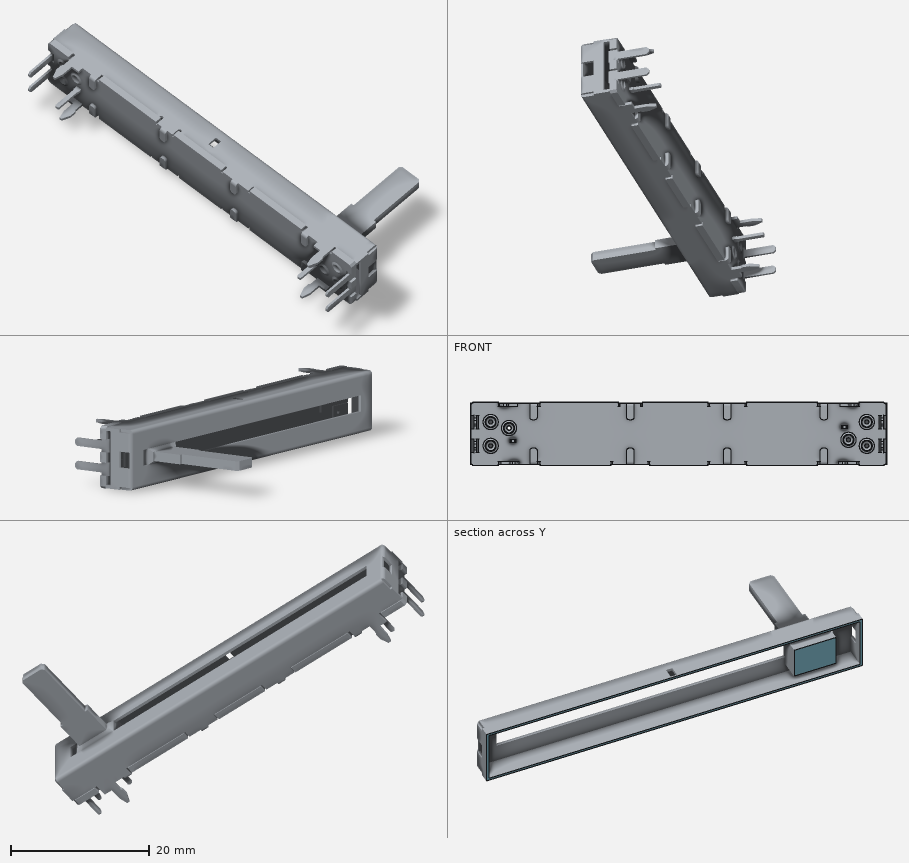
import cadquery as cq

HOUSING_LENGTH = 60.2
HOUSING_HEIGHT = 8.9
HOUSING_BACK_Y = 5.6
SHEET = 0.45
BEND_RADIUS = 0.55
END_WALL_FRONT_Y = 1.95
RELIEF_LENGTH = 0.35
RELIEF_FRONT_Y = 3.5
SLOT_HALF_HEIGHT = 1.2
SLOT_HALF_LENGTH = 27.0
END_OPENING_DEPTH = 0.25

BOARD_HEIGHT = 9.2
BOARD_THICKNESS = 1.05
BOARD_RIGHT_SETBACK = 0.1
BOARD_CORNER_CHAMFER = 0.35

FINGER_PITCH = 14.0
TAB_HALF_LENGTH = 2.55
NARROW_TAB_HALF_LENGTH = 1.5
END_TAB_INNER_X = 20.45
END_TAB_OUTER_X = 25.7
NOTCH_CLEARANCE = 0.25
END_NOTCH_CLEARANCE = 0.4
RELIEF_RADIUS = 0.3

FINGER_WIDTH = 1.1
FINGER_HEIGHT = 0.5
FINGER_TIP_Z = 2.05
FINGER_TIP_RADIUS = 0.4
FINGER_BEND_RADIUS = 0.45

CLIP_INNER_X = 23.3
CLIP_ROOT_Y = -0.85
CLIP_TIP_Y = -4.05
PRONG_WIDTH = 1.1
PRONG_BARB = 0.2
PRONG_TIP_HALF_WIDTH = 0.2
BARB_START_Y = -1.45
BARB_FULL_Y = -1.75
TAPER_START_Y = -2.75

PIN_TIP_Y = -4.75
TERMINAL_SHEET = 0.32
TERMINAL_Z = 1.72
TERMINAL_WIDTH = 1.95
END_PIN_X = 29.45
END_PIN_THICKNESS = 0.35
END_PIN_WIDTH = 1.2
END_PIN_CHAMFER = 0.35
END_NOTCH_DEPTH = 1.15
MIDDLE_PIN_X = 23.97
MIDDLE_PIN_Z = 1.0
MIDDLE_PIN_WIDTH = 0.7
MIDDLE_PIN_ROOT_WIDTH = 0.9
MIDDLE_PIN_SHOULDER_Y = -0.75
MIDDLE_PIN_THICKNESS = 0.45
MIDDLE_PIN_CHAMFER = 0.15

RIVET_X = 27.2
MIDDLE_RIVET_X = 24.55
MIDDLE_RIVET_Z = 0.85
RIVET_RADIUS = 1.1
RIVET_HEIGHT = 0.15
RIVET_CREST_RADIUS = 0.8
RIVET_BOWL_RADIUS = 0.7
RIVET_HOLE_RADIUS = 0.3

LEVER_X = 22.5
LEVER_TIP_Y = 20.55
LEVER_SHOULDER_Y = 10.6
LEVER_THICKNESS = 1.4
LEVER_WIDTH = 4.0
LEVER_ROOT_WIDTH = 4.9
LEVER_TIP_CHAMFER = 0.4
PAD_LENGTH = 6.7
PAD_FRONT_Y = 5.2
PAD_TOP_Y = 6.1
PAD_CHAMFER = 0.5
CARRIAGE_FRONT_Y = 2.1
CARRIAGE_HEIGHT = 5.0

WINDOW_LENGTH = 1.0
WINDOW_FRONT_Y = 2.3
WINDOW_BACK_Y = 3.9

HALF_LENGTH = HOUSING_LENGTH / 2
HALF_HEIGHT = HOUSING_HEIGHT / 2
WALL_INSIDE_Z = HALF_HEIGHT - SHEET
SIDES = (-1, 1)


def block(x0, x1, y0, y1, z0, z1):
    """Box between two opposite corners, given in any order."""
    return (
        cq.Workplane("XY")
        .box(abs(x1 - x0), abs(y1 - y0), abs(z1 - z0))
        .translate(((x0 + x1) / 2, (y0 + y1) / 2, (z0 + z1) / 2))
    )


def turned(profile):
    """Solid of revolution about the Y axis; the profile holds (radius, y) points."""
    return cq.Workplane("XY").polyline(profile).close().revolve(360, (0, 0, 0), (0, 1, 0))


def side_tabs():
    """Spans (side, x0, x1, notch clearance) of the wall tabs; the upper left middle tab is a narrow key."""
    tabs = []
    for side in SIDES:
        for end in SIDES:
            tabs.append((side, end * END_TAB_INNER_X, end * END_TAB_OUTER_X, END_NOTCH_CLEARANCE))
            is_key = side > 0 and end < 0
            half = NARROW_TAB_HALF_LENGTH if is_key else TAB_HALF_LENGTH
            center = end * FINGER_PITCH / 2
            tabs.append((side, center - half, center + half, NOTCH_CLEARANCE))
    return tabs


def housing():
    """Folded sheet-metal cover, open to the front, with a lever slot in its back and openings in its ends."""
    body = block(-HALF_LENGTH, HALF_LENGTH, BOARD_THICKNESS, HOUSING_BACK_Y, -HALF_HEIGHT, HALF_HEIGHT)
    body = body.faces(">Y").edges().fillet(BEND_RADIUS)
    inside = HALF_LENGTH - SHEET
    body = body.cut(
        block(-inside, inside, 0, HOUSING_BACK_Y - SHEET, -WALL_INSIDE_Z, WALL_INSIDE_Z)
    )
    body = body.cut(
        block(-HALF_LENGTH, HALF_LENGTH, 0, END_WALL_FRONT_Y, -WALL_INSIDE_Z, WALL_INSIDE_Z)
    )
    for end in SIDES:
        for side in SIDES:
            body = body.cut(
                block(
                    end * (HALF_LENGTH - RELIEF_LENGTH), end * HALF_LENGTH, RELIEF_FRONT_Y, HOUSING_BACK_Y,
                    side * WALL_INSIDE_Z, side * HALF_HEIGHT,
                )
            )
        bend_inside_y = HOUSING_BACK_Y - SHEET
        for depth, back_y in ((SHEET, bend_inside_y), (END_OPENING_DEPTH, HOUSING_BACK_Y)):
            body = body.cut(
                block(
                    end * (HALF_LENGTH - depth), end * HALF_LENGTH, RELIEF_FRONT_Y, back_y,
                    -SLOT_HALF_HEIGHT, SLOT_HALF_HEIGHT,
                )
            )
    body = body.cut(
        block(
            -SLOT_HALF_LENGTH, SLOT_HALF_LENGTH, HOUSING_BACK_Y - SHEET, HOUSING_BACK_Y,
            -SLOT_HALF_HEIGHT, SLOT_HALF_HEIGHT,
        )
    )
    window = block(
        -WINDOW_LENGTH / 2, WINDOW_LENGTH / 2, WINDOW_FRONT_Y, WINDOW_BACK_Y, WALL_INSIDE_Z, HALF_HEIGHT
    )
    return body.cut(window)


def key_reliefs():
    """Bend-relief holes at both root corners of the narrow key tab."""
    tools = cq.Workplane("XY")
    for end in SIDES:
        x = -FINGER_PITCH / 2 + end * (NARROW_TAB_HALF_LENGTH + RELIEF_RADIUS)
        hole = cq.Workplane("XY", origin=(x, BOARD_THICKNESS + RELIEF_RADIUS / 2, WALL_INSIDE_Z))
        tools = tools.add(hole.circle(RELIEF_RADIUS).extrude(SHEET))
    return tools.combine()


def wall_tab(side, x0, x1):
    """Part of a side wall that reaches to the front face of the board."""
    return block(x0, x1, 0, BOARD_THICKNESS, side * WALL_INSIDE_Z, side * HALF_HEIGHT)


def finger(x, side):
    """Tongue folded over the front face of the board, with a rounded tip."""
    tongue = block(
        x - FINGER_WIDTH / 2, x + FINGER_WIDTH / 2, -FINGER_HEIGHT, 0, side * FINGER_TIP_Z, side * HALF_HEIGHT
    )
    tip, root = ("<Z", ">Z") if side > 0 else (">Z", "<Z")
    tongue = tongue.faces(tip).edges("|Y").fillet(FINGER_TIP_RADIUS)
    return tongue.faces(root).edges("<Y").fillet(FINGER_BEND_RADIUS)


def clip(end, side):
    """Snap clip: a short root and one barbed prong, outer on the upper wall and inner on the lower."""
    center = (END_TAB_OUTER_X + CLIP_INNER_X) / 2
    half_root = (END_TAB_OUTER_X - CLIP_INNER_X) / 2
    outline = [
        (half_root, 0),
        (half_root, BARB_START_Y),
        (half_root + PRONG_BARB, BARB_FULL_Y),
        (half_root + PRONG_BARB, TAPER_START_Y),
        (half_root - PRONG_WIDTH / 2 + PRONG_TIP_HALF_WIDTH, CLIP_TIP_Y),
        (half_root - PRONG_WIDTH / 2 - PRONG_TIP_HALF_WIDTH, CLIP_TIP_Y),
        (half_root - PRONG_WIDTH, TAPER_START_Y),
        (half_root - PRONG_WIDTH, CLIP_ROOT_Y),
        (-half_root, CLIP_ROOT_Y),
        (-half_root, 0),
    ]
    points = [(end * (center + side * x), y) for x, y in outline]
    base_z = WALL_INSIDE_Z if side > 0 else -HALF_HEIGHT
    return cq.Workplane("XY", origin=(0, 0, base_z)).polyline(points).close().extrude(SHEET)


def board():
    """Circuit board with notches for the wall tabs and for the end pins."""
    half = BOARD_HEIGHT / 2
    plate = block(-HALF_LENGTH, HALF_LENGTH - BOARD_RIGHT_SETBACK, 0, BOARD_THICKNESS, -half, half)
    plate = plate.edges("|Y").chamfer(BOARD_CORNER_CHAMFER)
    for side, x0, x1, clearance in side_tabs():
        low = min(x0, x1) - clearance
        high = max(x0, x1) + clearance
        plate = plate.cut(block(low, high, 0, BOARD_THICKNESS, side * WALL_INSIDE_Z, side * half))
    for end in SIDES:
        for side in SIDES:
            plate = plate.cut(
                block(
                    end * (HALF_LENGTH - END_NOTCH_DEPTH), end * HALF_LENGTH, 0, BOARD_THICKNESS,
                    side * TERMINAL_Z - TERMINAL_WIDTH / 2, side * TERMINAL_Z + TERMINAL_WIDTH / 2,
                )
            )
    return plate


def end_terminal(end, side):
    """Plate behind the board, bent forward into a pin at the board end."""
    z = side * TERMINAL_Z
    half = TERMINAL_WIDTH / 2
    back_y = BOARD_THICKNESS + TERMINAL_SHEET
    outer_x = END_PIN_X + END_PIN_THICKNESS / 2
    inner_x = END_PIN_X - END_PIN_THICKNESS / 2
    plate = block(
        end * (RIVET_X - RIVET_RADIUS), end * outer_x, BOARD_THICKNESS, back_y, z - half, z + half
    )
    root = block(end * inner_x, end * outer_x, 0, back_y, z - half, z + half)
    pin = block(
        end * inner_x, end * outer_x, PIN_TIP_Y, 0, z - END_PIN_WIDTH / 2, z + END_PIN_WIDTH / 2
    )
    pin = pin.faces("<Y").edges("|X").chamfer(END_PIN_CHAMFER)
    return plate.union(root).union(pin)


def middle_terminal(end):
    """Plate behind the board, carrying a rivet and a blade pin that passes through the board."""
    x = end * MIDDLE_PIN_X
    z = end * MIDDLE_PIN_Z
    half = MIDDLE_PIN_THICKNESS / 2
    back_y = BOARD_THICKNESS + TERMINAL_SHEET
    plate = block(
        end * (MIDDLE_RIVET_X + RIVET_RADIUS), end * (MIDDLE_PIN_X - MIDDLE_PIN_ROOT_WIDTH),
        BOARD_THICKNESS, back_y, z + end * half, -end * (MIDDLE_RIVET_Z + RIVET_RADIUS),
    )

    def blade(width, tip_y):
        return block(x - width / 2, x + width / 2, tip_y, back_y, z - half, z + half)

    pin = blade(MIDDLE_PIN_WIDTH, PIN_TIP_Y).faces("<Y").edges("|Z").chamfer(MIDDLE_PIN_CHAMFER)
    root = blade(MIDDLE_PIN_ROOT_WIDTH, MIDDLE_PIN_SHOULDER_Y)
    return plate.union(pin).union(root)


def rivet_places():
    """Centers (x, z) of the rivets: two at each end and one for each middle terminal."""
    places = []
    for end in SIDES:
        places.append((end * MIDDLE_RIVET_X, -end * MIDDLE_RIVET_Z))
        for side in SIDES:
            places.append((end * RIVET_X, side * TERMINAL_Z))
    return places


def rivet_collar():
    """Rivet flange on the board face, sloping up to its crest."""
    return turned([(0, 0), (RIVET_RADIUS, 0), (RIVET_CREST_RADIUS, -RIVET_HEIGHT), (0, -RIVET_HEIGHT)])


def rivet_bore():
    """Conical mouth followed by a straight hole through the board and the terminal plate."""
    mouth_end_y = RIVET_BOWL_RADIUS - RIVET_HOLE_RADIUS - RIVET_HEIGHT
    back_y = BOARD_THICKNESS + TERMINAL_SHEET
    return turned([
        (0, -RIVET_HEIGHT),
        (RIVET_BOWL_RADIUS, -RIVET_HEIGHT),
        (RIVET_HOLE_RADIUS, mouth_end_y),
        (RIVET_HOLE_RADIUS, back_y),
        (0, back_y),
    ])


def lever():
    """Flat stepped lever on a bevelled pad, joined to the carriage inside the housing."""
    half_thickness = LEVER_THICKNESS / 2

    def bar(width, y0, y1):
        return block(
            LEVER_X - width / 2, LEVER_X + width / 2, y0, y1, -half_thickness, half_thickness
        )

    handle = bar(LEVER_WIDTH, PAD_TOP_Y, LEVER_TIP_Y).faces(">Y").edges("|Z").chamfer(LEVER_TIP_CHAMFER)
    pad = block(
        LEVER_X - PAD_LENGTH / 2, LEVER_X + PAD_LENGTH / 2, PAD_FRONT_Y, PAD_TOP_Y,
        -SLOT_HALF_HEIGHT, SLOT_HALF_HEIGHT,
    )
    pad = pad.faces(">Y").edges().chamfer(PAD_CHAMFER)
    carriage = block(
        LEVER_X - PAD_LENGTH / 2, LEVER_X + PAD_LENGTH / 2, CARRIAGE_FRONT_Y, HOUSING_BACK_Y - SHEET,
        -CARRIAGE_HEIGHT / 2, CARRIAGE_HEIGHT / 2,
    )
    return handle.union(bar(LEVER_ROOT_WIDTH, PAD_FRONT_Y, LEVER_SHOULDER_Y)).union(pad).union(carriage)


part = housing().cut(key_reliefs()).union(board())
for tab_side, tab_x0, tab_x1, _ in side_tabs():
    part = part.union(wall_tab(tab_side, tab_x0, tab_x1))
for end_sign in SIDES:
    part = part.union(middle_terminal(end_sign))
    for side_sign in SIDES:
        part = part.union(clip(end_sign, side_sign))
        part = part.union(end_terminal(end_sign, side_sign))
        for pitch_count in (0.5, 1.5):
            part = part.union(finger(end_sign * pitch_count * FINGER_PITCH, side_sign))
for rivet_x, rivet_z in rivet_places():
    rivet_center = (rivet_x, 0, rivet_z)
    part = part.union(rivet_collar().translate(rivet_center)).cut(rivet_bore().translate(rivet_center))
result = part.union(lever()).clean()